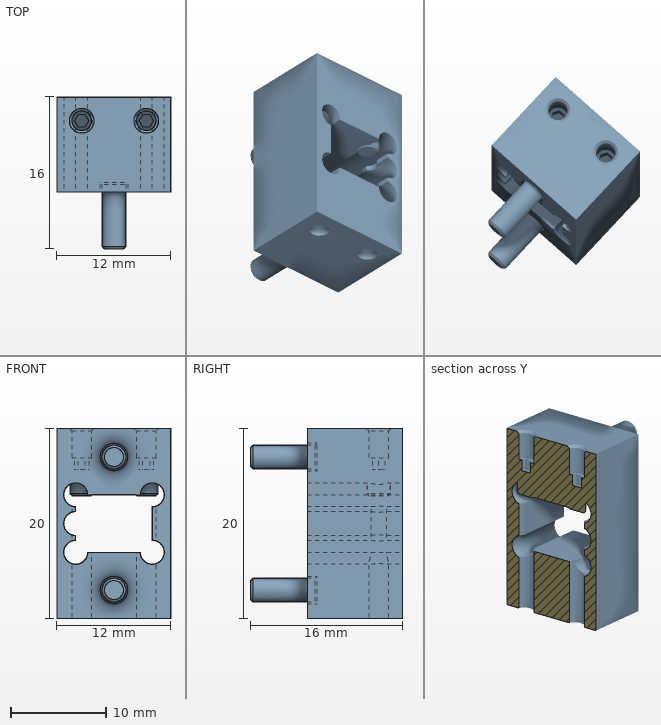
import cadquery as cq
import math

block_width = 12.0
block_depth = 10.0
block_height = 20.0

window_width = 8.05
window_height = 6.05
relief_diameter = 2.5

pin_diameter = 2.5
pin_projection = 6.0
pin_chamfer = 0.25
pin_offset_z = 7.0
pin_root_diameter = 2.9
pin_root_flare = (pin_root_diameter - pin_diameter) / 2
pin_recess_depth = 1.0

screw_offset_x = 3.4
screw_back_distance = 2.5
screw_y = block_depth - screw_back_distance
screw_diameter = 2.5
screw_length = 4.0
screw_tip_chamfer = 0.25
screw_tip_protrusion = 0.12
thread_core_diameter = 2.05
hole_rim_diameter = 2.6
hole_rim_depth = (hole_rim_diameter - thread_core_diameter) / 2
hex_across_flats = 1.3
hex_depth = 1.2

block_top = block_height / 2
window_top = window_height / 2
screw_bottom = window_top - screw_tip_protrusion
screw_top = screw_bottom + screw_length


def make_cone(large_diameter, small_diameter, depth, base, direction):
    """Cone frustum with its large end at base, narrowing along direction."""
    return cq.Workplane(
        cq.Solid.makeCone(large_diameter / 2, small_diameter / 2, depth, base, direction)
    )


def make_block():
    return cq.Workplane().box(block_width, block_depth, block_height, centered=(True, False, True))


def make_window():
    """Window cutter: rectangle with a relief at each corner and one halfway up the -X side."""
    side = window_width / 2
    relief_centres = [(x, z) for x in (-side, side) for z in (-window_top, window_top)]
    relief_centres.append((-side, 0))
    window = cq.Workplane().box(
        window_width, block_depth, window_height, centered=(True, False, True)
    )
    reliefs = (
        cq.Workplane("XZ")
        .pushPoints(relief_centres)
        .circle(relief_diameter / 2)
        .extrude(-block_depth)
    )
    return window.union(reliefs)


def make_pin(z):
    """Dowel pin along Y, chamfered at its free end and flared at its root in the recess."""
    shank = (
        cq.Workplane("XZ", origin=(0, pin_recess_depth, z))
        .circle(pin_diameter / 2)
        .extrude(pin_recess_depth + pin_projection)
        .faces("<Y")
        .chamfer(pin_chamfer)
    )
    root = make_cone(
        pin_root_diameter,
        pin_diameter,
        pin_root_flare,
        cq.Vector(0, pin_recess_depth, z),
        cq.Vector(0, -1, 0),
    )
    return shank.union(root)


def make_pin_recess(z):
    """Straight recess in the front face around the flared root of a pin."""
    return (
        cq.Workplane("XZ", origin=(0, 0, z))
        .circle(pin_root_diameter / 2)
        .extrude(-pin_recess_depth)
    )


def make_screw_hole(x):
    """Countersunk thread core hole through the full height of the block."""
    core = (
        cq.Workplane("XY", origin=(x, screw_y, -block_top))
        .circle(thread_core_diameter / 2)
        .extrude(block_height)
    )
    rim = make_cone(
        hole_rim_diameter,
        thread_core_diameter,
        hole_rim_depth,
        cq.Vector(x, screw_y, block_top),
        cq.Vector(0, 0, -1),
    )
    return core.union(rim)


def make_screw(x):
    """Set screw with a chamfered tip, its thread embedded in the wall of the core hole."""
    return (
        cq.Workplane("XY", origin=(x, screw_y, screw_bottom))
        .circle(screw_diameter / 2)
        .extrude(screw_length)
        .faces("<Z")
        .chamfer(screw_tip_chamfer)
    )


def make_hex_socket(x):
    hex_across_corners = hex_across_flats / math.cos(math.pi / 6)
    return (
        cq.Workplane("XY", origin=(x, screw_y, screw_top))
        .polygon(6, hex_across_corners)
        .extrude(-hex_depth)
    )


result = make_block().cut(make_window())

for pin_z in (-pin_offset_z, pin_offset_z):
    result = result.cut(make_pin_recess(pin_z)).union(make_pin(pin_z))

for screw_x in (-screw_offset_x, screw_offset_x):
    result = result.cut(make_screw_hole(screw_x))
    result = result.union(make_screw(screw_x)).cut(make_hex_socket(screw_x))